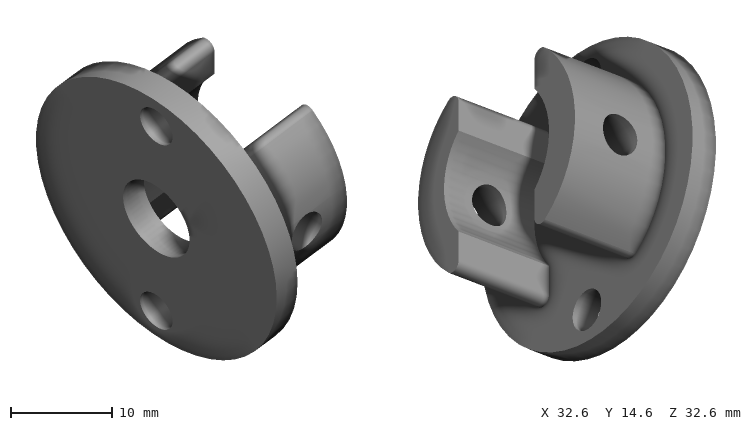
import cadquery as cq

flange_diameter = 32.6
flange_thickness = 3.0
centre_bore_diameter = 9.0
small_hole_diameter = 4.4
flange_hole_offset = 12.8

jaw_length = 11.6
jaw_outer_diameter = 24.2
jaw_wall = 4.0
jaw_gap = 11.7
jaw_tip_radius = 0.98

jaw_inner_diameter = jaw_outer_diameter - 2 * jaw_wall
jaw_end = flange_thickness + jaw_length
jaw_hole_y = flange_thickness + jaw_length / 2


def cylinder_along_y(diameter, start, length, x=0, z=0):
    """Solid cylinder running from Y = start towards +Y."""
    base = cq.Plane(origin=(x, start, z), xDir=(1, 0, 0), normal=(0, 1, 0))
    return cq.Workplane(base).circle(diameter / 2).extrude(length)


def make_flange():
    """Disc with a centre bore and two fixing holes on the Z axis."""
    flange = cylinder_along_y(flange_diameter, 0, flange_thickness)
    flange = flange.cut(cylinder_along_y(centre_bore_diameter, 0, flange_thickness))
    for z in (-flange_hole_offset, flange_hole_offset):
        flange = flange.cut(cylinder_along_y(small_hole_diameter, 0, flange_thickness, z=z))
    return flange


def make_jaws():
    """Tube split by a straight gap, with rounded tips and a cross hole."""
    jaws = cylinder_along_y(jaw_outer_diameter, flange_thickness, jaw_length)
    gap = cq.Workplane("XY").box(jaw_gap, 2 * jaw_end, jaw_outer_diameter)
    jaws = jaws.cut(gap).edges("|Y").fillet(jaw_tip_radius)
    jaws = jaws.cut(cylinder_along_y(jaw_inner_diameter, flange_thickness, jaw_length))
    cross_hole = (
        cq.Workplane("YZ", origin=(-jaw_outer_diameter / 2, jaw_hole_y, 0))
        .circle(small_hole_diameter / 2)
        .extrude(jaw_outer_diameter)
    )
    return jaws.cut(cross_hole)


result = make_flange().union(make_jaws())